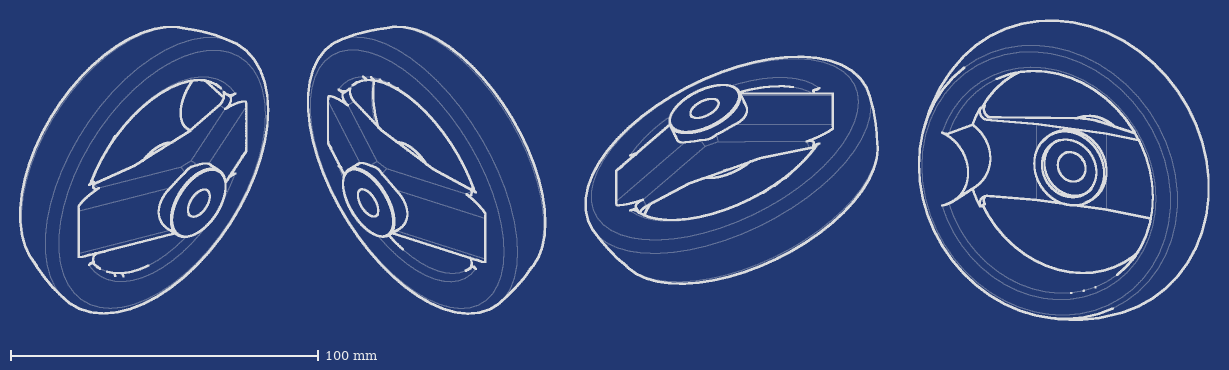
import cadquery as cq
import math


rim_depth = 19.9
outer_radius = 50.3
crown_round = 3.1
crown_x = rim_depth - crown_round
front_round = 1.7
front_outer_radius = 44.5
front_inner_radius = 39.3
flank_mid_x = 9.0
flank_mid_radius = 48.8
opening_radius = 35.4
back_inner_round = 2.0

spoke_half_width = 13.0
spoke_edge_round = 4.0
spoke_front_x = 19.8
spoke_front_half_flat = 12.6
spoke_front_slope = 0.163
spoke_back_x = 35.0
spoke_back_half_flat = 3.1
spoke_back_slope = 0.419
spoke_reach = 38.2
window_corner_radius = 2.6

hub_radius = 25.0 / 2
hub_front_x = 17.9
hub_back_x = 37.0
hub_chamfer = 0.3
recess_radius = 19.5 / 2
bore_radius = 10.0 / 2
handle_radius = spoke_half_width
handle_y = 40.9
handle_limit_radius = (front_inner_radius + front_outer_radius) / 2


def cylinder_x(radius, start, end, y=0.0):
    """Cylinder parallel to X between two X positions."""
    return cq.Workplane("YZ", origin=(start, y, 0)).circle(radius).extrude(end - start)


def spoke_front_at(y):
    return spoke_front_x - spoke_front_slope * (y - spoke_front_half_flat)


def spoke_back_at(y):
    return spoke_back_x - spoke_back_slope * (y - spoke_back_half_flat)


def make_rim():
    profile = (
        cq.Workplane("XY")
        .moveTo(0, front_inner_radius)
        .lineTo(0, front_outer_radius)
        .radiusArc((front_round, front_outer_radius + front_round), front_round)
        .threePointArc((flank_mid_x, flank_mid_radius), (crown_x, outer_radius))
        .radiusArc((rim_depth, outer_radius - crown_round), crown_round)
        .lineTo(rim_depth, opening_radius + back_inner_round)
        .radiusArc((rim_depth - back_inner_round, opening_radius), back_inner_round)
        .lineTo(front_round, front_inner_radius - front_round)
        .radiusArc((0, front_inner_radius), front_round)
        .close()
    )
    return profile.revolve(360, (0, 0, 0), (1, 0, 0))


def make_spoke():
    outline = [
        (spoke_front_at(spoke_reach), -spoke_reach),
        (spoke_front_x, -spoke_front_half_flat),
        (spoke_front_x, spoke_front_half_flat),
        (spoke_front_at(spoke_reach), spoke_reach),
        (spoke_back_at(spoke_reach), spoke_reach),
        (spoke_back_x, spoke_back_half_flat),
        (spoke_back_x, -spoke_back_half_flat),
        (spoke_back_at(spoke_reach), -spoke_reach),
    ]
    bar = cq.Workplane("XY").polyline(outline).close().extrude(spoke_half_width, both=True)
    mid_x = (spoke_front_x + spoke_back_at(spoke_reach)) / 2
    selection = cq.selectors.BoxSelector(
        (mid_x, -spoke_reach, -2 * spoke_half_width),
        (2 * spoke_back_x, spoke_reach, 2 * spoke_half_width),
    )
    long_edges = bar.faces("<Z or >Z").edges(selection).edges("not |X")
    return long_edges.fillet(spoke_edge_round)


def make_corner_web(side_y, side_z):
    """Web filling the corner between spoke and rim, with a concave round."""
    r = window_corner_radius
    center_z = spoke_half_width + r
    center_y = math.sqrt((opening_radius - r) ** 2 - center_z ** 2)
    stretch = opening_radius / (opening_radius - r)
    rim_y = center_y * stretch
    rim_z = center_z * stretch
    middle_angle = (math.atan2(center_z, center_y) - math.pi / 2) / 2
    arc_mid = (center_y + r * math.cos(middle_angle), center_z + r * math.sin(middle_angle))
    start_x = spoke_front_at(spoke_reach)
    web = (
        cq.Workplane("YZ", origin=(start_x, 0, 0))
        .moveTo(side_y * center_y, 0)
        .lineTo(side_y * center_y, side_z * spoke_half_width)
        .threePointArc((side_y * arc_mid[0], side_z * arc_mid[1]), (side_y * rim_y, side_z * rim_z))
        .lineTo(side_y * spoke_reach, side_z * rim_z)
        .lineTo(side_y * spoke_reach, 0)
        .close()
        .extrude(rim_depth - start_x)
    )
    behind_front_slope = (
        cq.Workplane("XY")
        .moveTo(spoke_front_x, side_y * spoke_front_half_flat)
        .lineTo(spoke_front_at(spoke_reach), side_y * spoke_reach)
        .lineTo(spoke_back_x, side_y * spoke_reach)
        .lineTo(spoke_back_x, side_y * spoke_front_half_flat)
        .close()
        .extrude(opening_radius, both=True)
    )
    return web.intersect(behind_front_slope)


def make_hub():
    hub = cylinder_x(hub_radius, hub_front_x, hub_back_x)
    return hub.faces(">X").chamfer(hub_chamfer)


def make_handle_boss():
    """Boss from the rim front to the sloping spoke; its outer part lies inside the rim."""
    end = spoke_front_at(handle_y - handle_radius)
    limit = cylinder_x(handle_limit_radius, 0, end)
    return cylinder_x(handle_radius, 0, end, handle_y).intersect(limit)


wheel = make_rim().union(make_handle_boss()).union(make_spoke()).union(make_hub())
for side_y in (-1, 1):
    for side_z in (-1, 1):
        wheel = wheel.union(make_corner_web(side_y, side_z))

recess = cylinder_x(recess_radius, hub_front_x, spoke_front_x)
bore = cylinder_x(bore_radius, hub_front_x, hub_back_x)
result = wheel.cut(recess).cut(bore).clean()